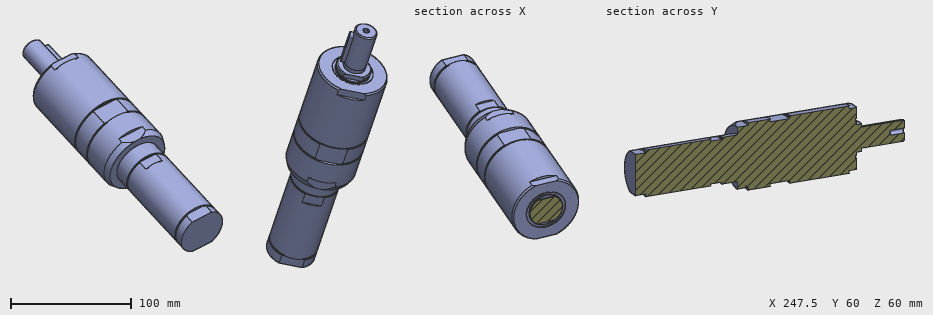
import cadquery as cq
import math


journal_start, shaft_end = 36.1, 39.5
shaft_diameter, journal_diameter = 19.0, 18.8
shaft_chamfer = 1.0
key_start, key_end = 5.0, 37.0
key_width = 6.0
key_top = 12.4

hole_diameter, hole_mouth_diameter = 4.0, 5.5
hole_depth = 12.4
drill_half_angle = math.radians(59)

collar_diameter = 30.0
collar_front_chamfer, collar_rear_chamfer = 1.0, 0.7
collar_flats = 24.8
recess_diameter, recess_depth = 35.0, 1.0

body_start, body_end = 44.0, 153.7
body_diameter = 60.0
body_chamfer_length, body_chamfer_depth = 1.7, 1.0
body_flats = 55.0
front_flats_end = 50.7
middle_flats_start, middle_flats_end = 106.2, 123.5
rear_flats_start = 143.8
rear_cone_start, rear_cone_diameter = 148.3, 55.2

tail_end = 247.5
tail_diameter = 41.5
neck_start, neck_end, neck_flats = 168.5, 178.0, 38.0
end_flats_start, end_flats = 237.8, 36.6

groove_width, groove_depth = 0.7, 0.7


def cylinder(start, end, diameter):
    return cq.Workplane("YZ", origin=(start, 0, 0)).circle(diameter / 2).extrude(end - start)


def ring(start, end, outer_diameter, wall):
    return cylinder(start, end, outer_diameter).cut(cylinder(start, end, outer_diameter - 2 * wall))


def cut_flats(solid, start, end, across_flats):
    """Mill parallel flats on the +Z and -Z sides between two X positions."""
    length = end - start
    for side in (1, -1):
        cutter = cq.Workplane("XY").box(length, 2 * body_diameter, body_diameter)
        height = side * (across_flats + body_diameter) / 2
        solid = solid.cut(cutter.translate((start + length / 2, 0, height)))
    return solid


def make_shaft():
    tip = cylinder(0, journal_start, shaft_diameter).faces("<X").chamfer(shaft_chamfer)
    return tip.union(cylinder(journal_start, shaft_end, journal_diameter))


def make_key():
    """Round-ended parallel key on the +Y side of the shaft."""
    length = key_end - key_start
    return (
        cq.Workplane("XZ", origin=((key_start + key_end) / 2, 0, 0))
        .slot2D(length, key_width)
        .extrude(-key_top)
    )


def make_centre_hole():
    """Drilled hole with a 45 degree mouth and a conical bottom."""
    radius = hole_diameter / 2
    mouth_radius = hole_mouth_diameter / 2
    return (
        cq.Workplane("XY")
        .moveTo(0, 0)
        .lineTo(0, mouth_radius)
        .lineTo(mouth_radius - radius, radius)
        .lineTo(hole_depth, radius)
        .lineTo(hole_depth + radius / math.tan(drill_half_angle), 0)
        .close()
        .revolve(360, (0, 0, 0), (1, 0, 0))
    )


def make_collar():
    """Chamfered collar with flats, on a full disc that reaches the recess floor."""
    collar = cylinder(shaft_end, body_start, collar_diameter)
    collar = collar.faces("<X").chamfer(collar_front_chamfer)
    collar = collar.faces(">X").chamfer(collar_rear_chamfer)
    collar = cut_flats(collar, shaft_end, body_start, collar_flats)
    return collar.union(cylinder(body_start, body_start + recess_depth, collar_diameter))


def make_body():
    body = cylinder(body_start, rear_cone_start, body_diameter)
    body = body.faces("<X").chamfer(body_chamfer_length, body_chamfer_depth)
    rear_cone = (
        cq.Workplane("YZ", origin=(rear_cone_start, 0, 0))
        .circle(body_diameter / 2)
        .workplane(offset=body_end - rear_cone_start)
        .circle(rear_cone_diameter / 2)
        .loft()
    )
    body = body.union(rear_cone)
    body = cut_flats(body, body_start, front_flats_end, body_flats)
    body = cut_flats(body, middle_flats_start, middle_flats_end, body_flats)
    body = cut_flats(body, rear_flats_start, body_end, body_flats)
    return body.cut(cylinder(body_start, body_start + recess_depth, recess_diameter))


def make_tail():
    tail = cylinder(body_end, tail_end, tail_diameter)
    tail = cut_flats(tail, neck_start, neck_end, neck_flats)
    return cut_flats(tail, end_flats_start, tail_end, end_flats)


def cut_joint_grooves(solid):
    joints = (
        (middle_flats_start - groove_width, body_diameter),
        (middle_flats_end - groove_width, body_diameter),
        (neck_start - groove_width, tail_diameter),
        (end_flats_start, tail_diameter),
    )
    for start, diameter in joints:
        solid = solid.cut(ring(start, start + groove_width, diameter, groove_depth))
    return solid


result = make_shaft().union(make_key()).union(make_collar())
result = result.union(make_body()).union(make_tail())
result = cut_joint_grooves(result).cut(make_centre_hole())